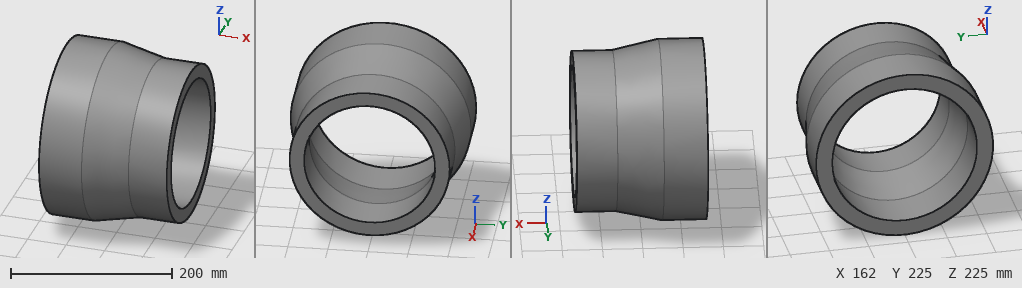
import cadquery as cq

large_outer_diameter = 225.0
large_bore_diameter = 184.0
small_outer_diameter = 200.0
small_bore_diameter = 163.6

total_length = 162.0
large_end_length = 55.0
small_end_length = 50.0
small_end_start = total_length - small_end_length


def reducer_body(large_diameter, small_diameter):
    """Solid of revolution: large cylinder, cone, small cylinder along X."""
    large_radius = large_diameter / 2
    small_radius = small_diameter / 2
    return (
        cq.Workplane("XY")
        .moveTo(0, 0)
        .lineTo(0, large_radius)
        .lineTo(large_end_length, large_radius)
        .lineTo(small_end_start, small_radius)
        .lineTo(total_length, small_radius)
        .lineTo(total_length, 0)
        .close()
        .revolve(360, (0, 0, 0), (1, 0, 0))
    )


outside = reducer_body(large_outer_diameter, small_outer_diameter)
bore = reducer_body(large_bore_diameter, small_bore_diameter)

result = outside.cut(bore)